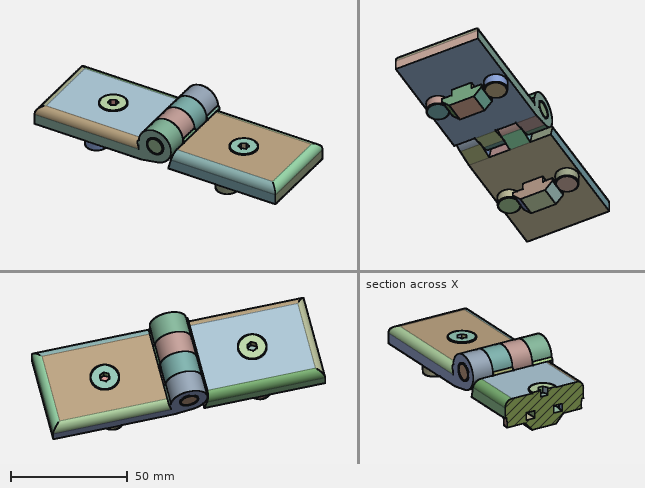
import cadquery as cq
import math

LENGTH = 120.0
WIDTH = 40.0
HALF_LENGTH = LENGTH / 2
HALF_WIDTH = WIDTH / 2

PLATE_THICKNESS = 8.6
EDGE_RADIUS = 3.6
PLATE_END_TOP = 8.9
PLATE_END_BOTTOM = 6.6

KNUCKLE_COUNT = 4
KNUCKLE_WIDTH = WIDTH / KNUCKLE_COUNT
BARREL_RADIUS = 8.0
AXIS_HEIGHT = 9.2
WEB_TOP_HEIGHT = 9.8
PIN_DIAMETER = 8.2
PIN_CHAMFER = 0.5

SCREW_OFFSET = 32.5
HEAD_DIAMETER = 12.0
HEAD_HEIGHT = 0.4
SINK_DIAMETER = 12.6
SINK_DEPTH = (SINK_DIAMETER - HEAD_DIAMETER) / 2
SOCKET_ACROSS_FLATS = 4.0
SOCKET_DEPTH = 3.0

BOSS_DIAMETER = 10.3
BOSS_HEIGHT = 4.7
BOSS_DRAFT = 1.5
BOSS_CHAMFER = 0.4
BOSS_OFFSET = 14.0

BLOCK_LENGTH = 9.8
STEM_WIDTH = 9.7
STEM_HEIGHT = 3.2
BLOCK_WIDTH = 19.2
BLOCK_SIDE_BOTTOM = 4.9
BLOCK_BOTTOM_WIDTH = 12.0
BLOCK_HEIGHT = 8.8


def xz_prism(outline, y_start, length):
    """Extrude a closed XZ outline along +Y from y_start."""
    return outline.extrude(-length).translate((0, y_start, 0))


def make_plate():
    """Plate on the -X side with three rounded top edges and a sloped end at the hinge."""
    block = (
        cq.Workplane("XY")
        .box(HALF_LENGTH, WIDTH, PLATE_THICKNESS, centered=(False, True, False))
        .translate((-HALF_LENGTH, 0, 0))
    )
    rounded = block.faces(">Z").edges("<X or <Y or >Y").fillet(EDGE_RADIUS)
    kept_outline = cq.Workplane("XZ").polyline([
        (-HALF_LENGTH, 0),
        (-PLATE_END_BOTTOM, 0),
        (-PLATE_END_TOP, PLATE_THICKNESS),
        (-HALF_LENGTH, PLATE_THICKNESS),
    ]).close()
    return rounded.intersect(xz_prism(kept_outline, -HALF_WIDTH, WIDTH))


def make_knuckle(y_start):
    """Barrel segment with the web that joins it to the sloped plate end.

    The underside of the web runs tangent into the barrel.
    """
    reach = math.hypot(PLATE_END_BOTTOM, AXIS_HEIGHT)
    tangent_angle = math.atan2(AXIS_HEIGHT, PLATE_END_BOTTOM) - math.asin(BARREL_RADIUS / reach)
    tangent_point = (
        BARREL_RADIUS * math.sin(tangent_angle),
        AXIS_HEIGHT - BARREL_RADIUS * math.cos(tangent_angle),
    )
    web_top_x = -math.sqrt(BARREL_RADIUS**2 - (WEB_TOP_HEIGHT - AXIS_HEIGHT)**2)
    outline = (
        cq.Workplane("XZ")
        .moveTo(-PLATE_END_BOTTOM, 0)
        .lineTo(*tangent_point)
        .threePointArc((BARREL_RADIUS * math.cos(math.pi / 4),
                        AXIS_HEIGHT + BARREL_RADIUS * math.sin(math.pi / 4)),
                       (web_top_x, WEB_TOP_HEIGHT))
        .lineTo(-PLATE_END_TOP, PLATE_THICKNESS)
        .close()
    )
    return xz_prism(outline, y_start, KNUCKLE_WIDTH)


def make_countersink_gap():
    """45-degree countersink round the screw head, down to where the head closes it."""
    return (
        cq.Workplane("XY", origin=(-SCREW_OFFSET, 0, PLATE_THICKNESS - SINK_DEPTH))
        .circle(HEAD_DIAMETER / 2)
        .workplane(offset=SINK_DEPTH)
        .circle(SINK_DIAMETER / 2)
        .loft()
    )


def make_screw_head():
    """Flat screw head filling the countersink and standing slightly above the plate."""
    return (
        cq.Workplane("XY", origin=(-SCREW_OFFSET, 0, PLATE_THICKNESS - SINK_DEPTH))
        .circle(HEAD_DIAMETER / 2)
        .extrude(SINK_DEPTH + HEAD_HEIGHT)
    )


def make_hex_socket():
    """Hexagonal recess of the screw head, with two corners pointing along Y."""
    across_corners = SOCKET_ACROSS_FLATS / math.cos(math.pi / 6)
    return (
        cq.Workplane("XY", origin=(-SCREW_OFFSET, 0, PLATE_THICKNESS + HEAD_HEIGHT))
        .transformed(rotate=(0, 0, 90))
        .polygon(6, across_corners)
        .extrude(-SOCKET_DEPTH)
    )


def make_bosses():
    """Two slightly tapered round locating bosses under the plate."""
    return (
        cq.Workplane("XY", origin=(-SCREW_OFFSET, 0, 0))
        .pushPoints([(0, -BOSS_OFFSET), (0, BOSS_OFFSET)])
        .circle(BOSS_DIAMETER / 2)
        .extrude(-BOSS_HEIGHT, taper=BOSS_DRAFT)
        .faces("<Z").chamfer(BOSS_CHAMFER)
    )


def make_slot_block():
    """T-shaped block under the plate, with bevelled lower sides."""
    half_outline = [
        (STEM_WIDTH / 2, 0),
        (STEM_WIDTH / 2, -STEM_HEIGHT),
        (BLOCK_WIDTH / 2, -STEM_HEIGHT),
        (BLOCK_WIDTH / 2, -BLOCK_SIDE_BOTTOM),
        (BLOCK_BOTTOM_WIDTH / 2, -BLOCK_HEIGHT),
    ]
    mirrored_half = [(-y, z) for y, z in reversed(half_outline)]
    return (
        cq.Workplane("YZ", origin=(-SCREW_OFFSET, 0, 0))
        .polyline(half_outline + mirrored_half)
        .close()
        .extrude(BLOCK_LENGTH / 2, both=True)
    )


def make_pin_cylinder():
    """Plain cylinder of the pin diameter along the hinge axis."""
    outline = cq.Workplane("XZ").center(0, AXIS_HEIGHT).circle(PIN_DIAMETER / 2)
    return xz_prism(outline, -HALF_WIDTH, WIDTH)


def make_leaf():
    """Hinge leaf on the -X side; its knuckles take every second place from the -Y end."""
    leaf = make_plate()
    for index in range(0, KNUCKLE_COUNT, 2):
        leaf = leaf.union(make_knuckle(-HALF_WIDTH + index * KNUCKLE_WIDTH))
    leaf = leaf.cut(make_countersink_gap())
    leaf = leaf.union(make_screw_head()).union(make_bosses()).union(make_slot_block())
    return leaf.cut(make_hex_socket()).cut(make_pin_cylinder())


def make_pin():
    """Hinge pin with chamfered ends, flush with the outer knuckles."""
    return make_pin_cylinder().faces("<Y or >Y").chamfer(PIN_CHAMFER)


left_leaf = make_leaf()
right_leaf = left_leaf.rotate((0, 0, 0), (0, 0, 1), 180)
pin = make_pin()

result = cq.Compound.makeCompound([left_leaf.val(), right_leaf.val(), pin.val()])